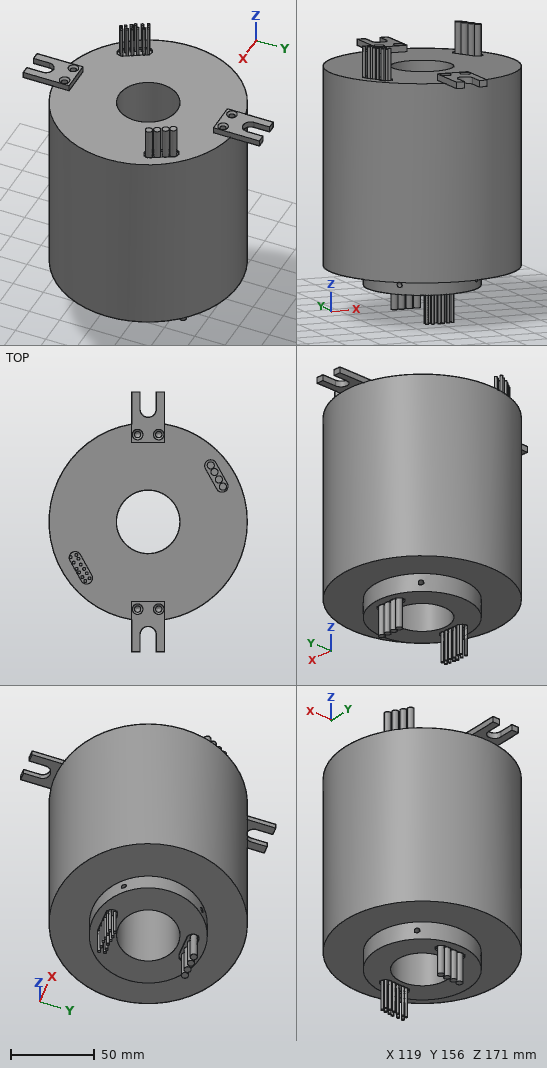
import cadquery as cq
import math

flange_height = 12.0
body_height = 121.4
lead_length = 18.8
body_top = flange_height + body_height

body_diameter = 119.0
flange_diameter = 70.8
bore_diameter = 38.0

outlet_length = 21.2
outlet_width = 7.2
outlet_depth = 1.4
top_power_outlet = (40.9, 27.5)
top_signal_outlet = (-40.4, -27.5)
top_outlet_angle = -61.0
bottom_power_outlet = (0, 26.0)
bottom_signal_outlet = (0, -26.0)
bottom_outlet_angle = 0
power_lead_diameter = 4.3
signal_lead_diameter = 1.7

power_leads = [(-7.2, 0.2), (-2.5, 0.2), (2.5, 0.3), (7.5, 0.3)]
signal_leads = [
    (-8.5, -2.2), (-4.8, -2.2), (-0.7, -2.5), (1.9, -2.2), (5.3, -1.9), (8.2, -1.5),
    (-8.0, 1.4), (-5.5, 1.4), (-1.7, 0.9), (1.5, 1.4), (4.6, 1.5), (8.0, 1.5),
]

fork_width = 19.8
fork_thickness = 4.0
fork_tip = 78.0
fork_length = 30.3
fork_slot_width = 9.5
fork_slot_depth = 15.2
screw_spacing = 12.7
screw_edge_distance = 4.6
screw_hole_diameter = 3.8
screw_head_diameter = 6.3
screw_hole_depth = 8.5

set_screw_diameter = 3.2
set_screw_depth = 6.0
set_screw_count = 4

drill_point_angle = 118.0


def cylinder(diameter, bottom, height):
    return cq.Workplane("XY").workplane(offset=bottom).circle(diameter / 2).extrude(height)


def drilled_hole(diameter, depth):
    """Blind hole going down from the origin, ending in a drill point."""
    radius = diameter / 2
    point_length = radius / math.tan(math.radians(drill_point_angle / 2))
    profile = [(0, 0), (radius, 0), (radius, -depth), (0, -depth - point_length)]
    return cq.Workplane("XZ").polyline(profile).close().revolve(360, (0, 0), (0, 1))


def make_body():
    """Stator body and rotor flange, open along the common bore."""
    body = cylinder(body_diameter, flange_height, body_height)
    body = body.union(cylinder(flange_diameter, 0, flange_height))
    return body.cut(cylinder(bore_diameter, 0, body_top))


def add_leads(part, leads, diameter, center, angle, face_z, outward):
    """Sink an outlet into a horizontal face and stand leads in it; outward is +1 for up, -1 for down."""
    floor = cq.Workplane("XY", origin=(*center, face_z - outward * outlet_depth))
    floor = floor.transformed(rotate=(0, 0, angle))
    pocket = floor.slot2D(outlet_length, outlet_width).extrude(outward * outlet_depth)
    bundle = floor.pushPoints(leads).circle(diameter / 2).extrude(outward * (outlet_depth + lead_length))
    return part.cut(pocket).union(bundle)


def make_fork():
    """Fork pointing toward +Y."""
    root = fork_tip - fork_length
    slot_radius = fork_slot_width / 2
    slot_center = fork_tip - fork_slot_depth + slot_radius
    return (
        cq.Workplane("XY", origin=(0, 0, body_top))
        .moveTo(-fork_width / 2, root)
        .lineTo(fork_width / 2, root)
        .lineTo(fork_width / 2, fork_tip)
        .lineTo(slot_radius, fork_tip)
        .lineTo(slot_radius, slot_center)
        .threePointArc((0, slot_center - slot_radius), (-slot_radius, slot_center))
        .lineTo(-slot_radius, fork_tip)
        .lineTo(-fork_width / 2, fork_tip)
        .close()
        .extrude(fork_thickness)
    )


def make_fork_holes():
    """Countersunk screw holes that run through the fork into the body."""
    hole_y = fork_tip - fork_length + screw_edge_distance
    sink_depth = (screw_head_diameter - screw_hole_diameter) / 2
    sink = cq.Workplane("XY").circle(screw_head_diameter / 2).workplane(offset=-sink_depth)
    sink = sink.circle(screw_hole_diameter / 2).loft()
    hole = drilled_hole(screw_hole_diameter, screw_hole_depth).union(sink)
    hole = hole.translate((0, hole_y, body_top + fork_thickness))
    left_hole = hole.translate((-screw_spacing / 2, 0, 0))
    return left_hole.union(hole.translate((screw_spacing / 2, 0, 0)))


def add_forks(part):
    for angle in (0, 180):
        part = part.union(make_fork().rotate((0, 0, 0), (0, 0, 1), angle))
        part = part.cut(make_fork_holes().rotate((0, 0, 0), (0, 0, 1), angle))
    return part


def cut_set_screw_holes(part):
    hole = drilled_hole(set_screw_diameter, set_screw_depth)
    hole = hole.rotate((0, 0, 0), (0, 1, 0), 90)
    hole = hole.translate((flange_diameter / 2, 0, flange_height / 2))
    step = 360 / set_screw_count
    for index in range(set_screw_count):
        part = part.cut(hole.rotate((0, 0, 0), (0, 0, 1), (index + 0.5) * step))
    return part


result = make_body()
result = add_forks(result)
result = cut_set_screw_holes(result)

for outlet, angle, face_z, outward in (
    (top_power_outlet, top_outlet_angle, body_top, 1),
    (bottom_power_outlet, bottom_outlet_angle, 0, -1),
):
    result = add_leads(result, power_leads, power_lead_diameter, outlet, angle, face_z, outward)

for outlet, angle, face_z, outward in (
    (top_signal_outlet, top_outlet_angle, body_top, 1),
    (bottom_signal_outlet, bottom_outlet_angle, 0, -1),
):
    result = add_leads(result, signal_leads, signal_lead_diameter, outlet, angle, face_z, outward)